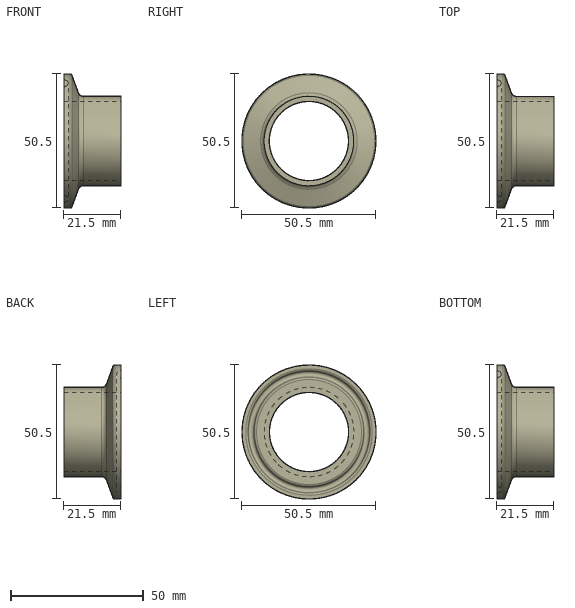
import cadquery as cq
import math

length = 21.5
flange_radius = 50.5 / 2
tube_radius = 33.7 / 2
bore_radius = 29.7 / 2

rim_width = 2.3
rim_round = 0.8
hub_fillet = 1.95
cone_angle = math.radians(20)

groove_radius = 21.75
groove_half_width = 2.0
groove_lip_round = 0.9
groove_floor_round = 1.1
groove_wall_angle = math.radians(20)


def arc_point(center, radius, angle):
    """Point (axial, radial) on a circle; angle is measured from +X."""
    return (center[0] + radius * math.cos(angle), center[1] + radius * math.sin(angle))


def make_body():
    """Flange, cone and tube as one solid of revolution, before boring."""
    normal = cone_angle
    rim_center = (rim_width, flange_radius - rim_round)
    rim_mid = arc_point(rim_center, rim_round, (normal + math.pi / 2) / 2)
    cone_start = arc_point(rim_center, rim_round, normal)

    cone_end_radius = tube_radius + hub_fillet * (1 - math.sin(normal))
    cone_end_x = cone_start[0] + (cone_start[1] - cone_end_radius) * math.tan(cone_angle)
    hub_center = (cone_end_x + hub_fillet * math.cos(normal), tube_radius + hub_fillet)
    hub_mid = arc_point(hub_center, hub_fillet, (normal + math.pi / 2) / 2 + math.pi)

    return (
        cq.Workplane("XY")
        .lineTo(0, flange_radius)
        .lineTo(rim_width, flange_radius)
        .threePointArc(rim_mid, cone_start)
        .lineTo(cone_end_x, cone_end_radius)
        .threePointArc(hub_mid, (hub_center[0], tube_radius))
        .lineTo(length, tube_radius)
        .lineTo(length, 0)
        .close()
        .revolve(360, (0, 0, 0), (1, 0, 0))
    )


def make_groove():
    """Ring with rounded lips, slanted walls and a round floor."""
    wall = groove_wall_angle
    lip_end_x = groove_lip_round * (1 - math.sin(wall))
    lip_end = groove_half_width - groove_lip_round * math.cos(wall)
    floor_start = groove_floor_round * math.cos(wall)
    floor_start_x = lip_end_x + (lip_end - floor_start) / math.tan(wall)
    floor_x = floor_start_x + groove_floor_round * (1 - math.sin(wall))

    lip_mid_angle = (math.pi / 2 - wall) / 2
    lip_mid_x = groove_lip_round * (1 - math.cos(lip_mid_angle))
    lip_mid = groove_half_width - groove_lip_round * math.sin(lip_mid_angle)

    return (
        cq.Workplane("XY")
        .moveTo(0, groove_radius - groove_half_width)
        .threePointArc((lip_mid_x, groove_radius - lip_mid), (lip_end_x, groove_radius - lip_end))
        .lineTo(floor_start_x, groove_radius - floor_start)
        .threePointArc((floor_x, groove_radius), (floor_start_x, groove_radius + floor_start))
        .lineTo(lip_end_x, groove_radius + lip_end)
        .threePointArc((lip_mid_x, groove_radius + lip_mid), (0, groove_radius + groove_half_width))
        .close()
        .revolve(360, (0, 0, 0), (1, 0, 0))
    )


bore = cq.Workplane("YZ").circle(bore_radius).extrude(length)

result = make_body().cut(bore).cut(make_groove())